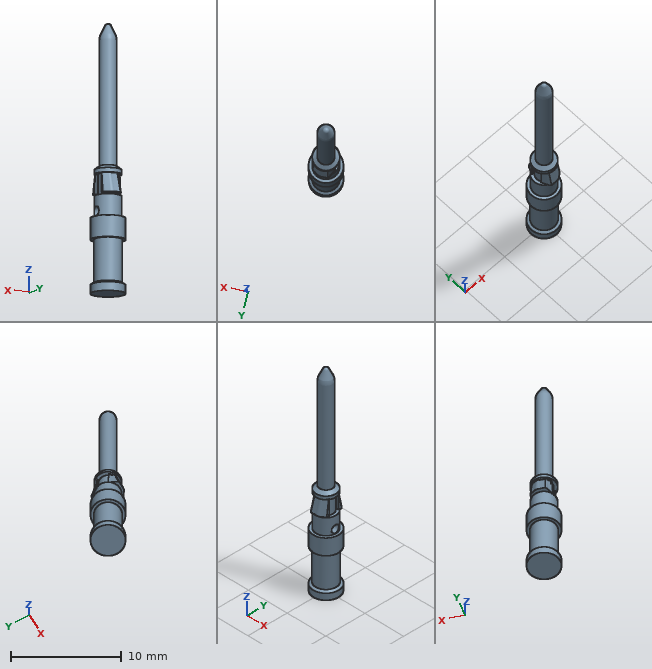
import cadquery as cq
import math

total_length = 25.0
foot_top = 0.8
foot_chamfer_top = 1.0
flange_bottom = 5.0
flange_top = 7.0
neck_bottom = 9.02
neck_top = 11.05
collar_top = 11.45
pin_bottom = 11.8
nose_bottom = 23.5
nose_shoulder = 23.95
tip_bottom = 24.85

flange_diameter = 3.2
barrel_diameter = 2.6
collar_diameter = 2.52
neck_diameter = 1.8
pin_diameter = 1.6
shoulder_diameter = 1.42
tip_diameter = 0.55

inspection_diameter = 0.9
inspection_height = 7.52

finger_bottom = 9.22
finger_inner_y = 0.6
finger_clearance_diameter = 1.95


def turned_body():
    """Revolve the stepped shaft, from the foot up to the rounded nose."""
    dome_height = total_length - tip_bottom
    dome_radius = ((tip_diameter / 2) ** 2 + dome_height**2) / (2 * dome_height)
    half_angle = math.asin(tip_diameter / 2 / dome_radius) / 2
    tip_dome_middle = (
        dome_radius * math.sin(half_angle),
        total_length - dome_radius * (1 - math.cos(half_angle)),
    )
    outline = (
        cq.Workplane("XZ")
        .lineTo(flange_diameter / 2, 0)
        .lineTo(flange_diameter / 2, foot_top)
        .lineTo(barrel_diameter / 2, foot_chamfer_top)
        .lineTo(barrel_diameter / 2, flange_bottom)
        .lineTo(flange_diameter / 2, flange_bottom)
        .lineTo(flange_diameter / 2, flange_top)
        .lineTo(collar_diameter / 2, flange_top)
        .lineTo(collar_diameter / 2, neck_bottom)
        .lineTo(neck_diameter / 2, neck_bottom)
        .lineTo(neck_diameter / 2, neck_top)
        .lineTo(collar_diameter / 2, neck_top)
        .lineTo(collar_diameter / 2, collar_top)
        .lineTo(pin_diameter / 2, pin_bottom)
        .lineTo(pin_diameter / 2, nose_bottom)
        .tangentArcPoint((shoulder_diameter / 2, nose_shoulder), relative=False)
        .lineTo(tip_diameter / 2, tip_bottom)
        .threePointArc(tip_dome_middle, (0, total_length))
        .close()
    )
    return outline.revolve(360, (0, 0, 0), (0, 1, 0))


def rounded_middle(start, end):
    """Middle point of a shallow outward arc between two points of the section."""
    bulge = 0.1
    run = end[0] - start[0]
    rise = end[1] - start[1]
    return (
        (start[0] + end[0]) / 2 - bulge * rise,
        (start[1] + end[1]) / 2 + bulge * run,
    )


def finger_section(height, left_foot, left_corner, flat_left, flat_right, arc_end, bevel, right_edge):
    """Cross-section of the +Y finger: slanted left wall, front flat, and a bevelled right side."""
    left_bend = rounded_middle(left_corner, flat_left)
    right_bend = rounded_middle(flat_right, arc_end)
    section = (
        cq.Workplane("XY", origin=(0, 0, height))
        .moveTo(left_foot, finger_inner_y)
        .lineTo(*left_corner)
        .threePointArc(left_bend, flat_left)
        .lineTo(*flat_right)
        .threePointArc(right_bend, arc_end)
        .lineTo(*bevel)
        .lineTo(*right_edge)
        .lineTo(right_edge[0], finger_inner_y)
        .close()
    )
    return section.wires().val()


def spring_finger():
    """Loft the +Y finger from its narrow root at the collar to its flared free end."""
    free_end = finger_section(
        height=finger_bottom,
        left_foot=-0.98,
        left_corner=(-0.68, 1.2),
        flat_left=(-0.48, 1.48),
        flat_right=(0.12, 1.48),
        arc_end=(0.58, 1.35),
        bevel=(0.92, 1.1),
        right_edge=(1.05, 0.95),
    )
    root = finger_section(
        height=neck_top,
        left_foot=-0.9,
        left_corner=(-0.58, 0.9),
        flat_left=(-0.4, 1.02),
        flat_right=(0.2, 1.02),
        arc_end=(0.5, 0.98),
        bevel=(0.85, 0.78),
        right_edge=(1.0, 0.65),
    )
    finger = cq.Workplane(cq.Solid.makeLoft([free_end, root], True))
    clearance = (
        cq.Workplane("XY", origin=(0, 0, finger_bottom))
        .circle(finger_clearance_diameter / 2)
        .extrude(neck_top - finger_bottom)
    )
    return finger.cut(clearance)


def inspection_hole():
    """Radial hole from the axis out through the +X wall."""
    return (
        cq.Workplane("YZ")
        .center(0, inspection_height)
        .circle(inspection_diameter / 2)
        .extrude(flange_diameter / 2)
    )


finger = spring_finger()
result = turned_body().cut(inspection_hole()).union(finger).union(finger.mirror("XZ"))